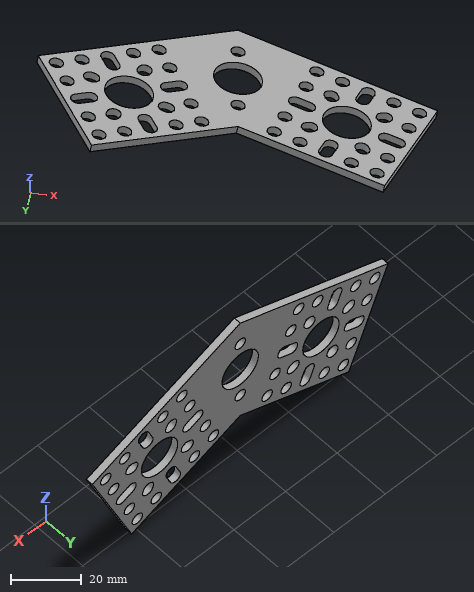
import cadquery as cq
import math

overall_span = 115.0
thickness = 2.5
arm_width = 40.0
arm_slope = 22.5
small_hole_diameter = 4.0
large_hole_diameter = 14.0
grid_count = 5

slope = math.radians(arm_slope)
half_width = arm_width / 2
back_y = thickness / 2
pitch = arm_width / grid_count
arm_length = (overall_span / 2 - half_width * math.sin(slope)) / math.cos(slope)
pattern_distance = arm_length - half_width
bolt_circle_radius = 1.5 * pitch
outer_row = (grid_count - 1) / 2 * pitch
diagonal_radius = pitch * math.sqrt(2)


def arm_point(along, across):
    """X, Z position on the right arm, measured along and across its centreline."""
    x = along * math.cos(slope) + across * math.sin(slope)
    z = -along * math.sin(slope) + across * math.cos(slope)
    return x, z


def make_plate():
    """V-shaped plate centred on the bend, with its thickness centred on Y = 0."""
    apex = half_width / math.cos(slope)
    tip_x, tip_z = arm_point(arm_length, half_width)
    foot_x, foot_z = arm_point(arm_length, -half_width)
    outline = [
        (0, apex),
        (tip_x, tip_z),
        (foot_x, foot_z),
        (0, -apex),
        (-foot_x, foot_z),
        (-tip_x, tip_z),
    ]
    return cq.Workplane("XZ", origin=(0, back_y, 0)).polyline(outline).close().extrude(thickness)


def round_cutter(plane, diameter, points):
    """Equal cylinders through the plate at the given points of a plane."""
    return plane.pushPoints(points).circle(diameter / 2).extrude(thickness)


def radial_slot_cutter(plane, inner_radius, outer_radius, start_angle):
    """Four radial slots; the radii locate the centres of their round ends."""
    middle = (inner_radius + outer_radius) / 2
    length = outer_radius - inner_radius + small_hole_diameter
    return (
        plane.polarArray(middle, start_angle, 360, 4)
        .slot2D(length, small_hole_diameter)
        .extrude(thickness)
    )


def cut_bend_holes(plate):
    """Large hole at the bend with a small hole above and below it."""
    plane = cq.Workplane("XZ", origin=(0, back_y, 0))
    bolt_points = [(0, bolt_circle_radius), (0, -bolt_circle_radius)]
    plate = plate.cut(round_cutter(plane, large_hole_diameter, [(0, 0)]))
    return plate.cut(round_cutter(plane, small_hole_diameter, bolt_points))


def cut_arm_pattern(plate, side):
    """Square hole pattern on one arm; side is 1 for +X and -1 for -X."""
    x, z = arm_point(pattern_distance, 0)
    plane = cq.Workplane("XZ", origin=(side * x, back_y, z))
    plane = plane.transformed(rotate=(0, 0, -side * arm_slope))

    edge_holes = []
    for offset in (-outer_row, -pitch, pitch, outer_row):
        for edge in (-outer_row, outer_row):
            edge_holes.append((offset, edge))
            if abs(offset) < outer_row:
                edge_holes.append((edge, offset))

    plate = plate.cut(round_cutter(plane, large_hole_diameter, [(0, 0)]))
    plate = plate.cut(round_cutter(plane, small_hole_diameter, edge_holes))
    plate = plate.cut(radial_slot_cutter(plane, bolt_circle_radius, outer_row, 0))
    return plate.cut(radial_slot_cutter(plane, diagonal_radius, bolt_circle_radius, 45))


result = cut_bend_holes(make_plate())
for arm_side in (-1, 1):
    result = cut_arm_pattern(result, arm_side)